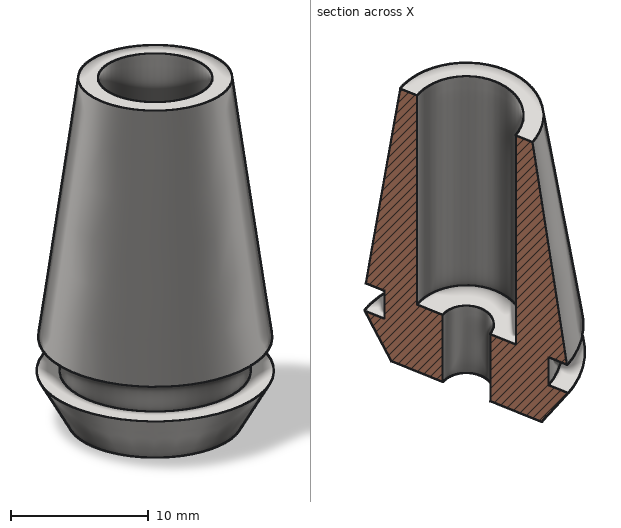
import cadquery as cq

total_height = 27.5
rim_height = 4.0
groove_top = 6.7

nose_diameter = 12.7
rim_diameter = 17.25
groove_diameter = 13.9
taper_base_diameter = 17.02
taper_top_diameter = 11.2

hole_diameter = 4.0
bore_diameter = 8.3
bore_floor = groove_top


def cone(bottom_diameter, top_diameter, bottom, top):
    """Solid truncated cone about Z between two heights."""
    return (
        cq.Workplane("XZ")
        .moveTo(0, bottom)
        .lineTo(bottom_diameter / 2, bottom)
        .lineTo(top_diameter / 2, top)
        .lineTo(0, top)
        .close()
        .revolve(360, (0, 0, 0), (0, 1, 0))
    )


def cylinder(diameter, bottom, top):
    """Solid cylinder about Z between two heights."""
    return cq.Workplane("XY").workplane(offset=bottom).circle(diameter / 2).extrude(top - bottom)


nose = cone(nose_diameter, rim_diameter, 0, rim_height)
neck = cylinder(groove_diameter, rim_height, groove_top)
sleeve = cone(taper_base_diameter, taper_top_diameter, groove_top, total_height)
body = nose.union(neck).union(sleeve)

through_hole = cylinder(hole_diameter, 0, total_height)
wide_bore = cylinder(bore_diameter, bore_floor, total_height)
result = body.cut(through_hole).cut(wide_bore)